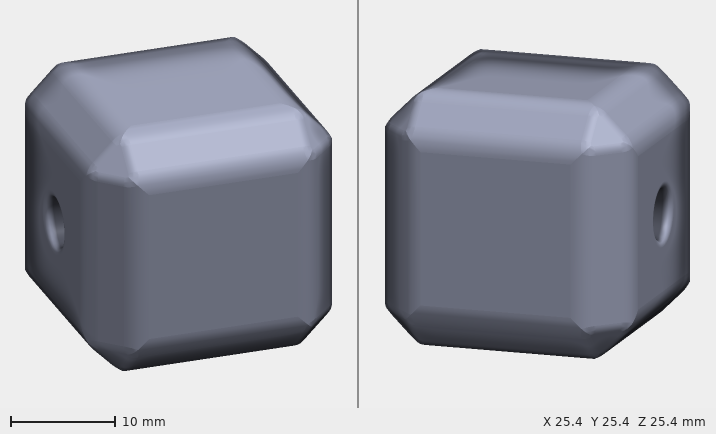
import cadquery as cq

side = 25.4
bevel_leg = 3.8
long_edge_radius = 3.18
corner_edge_radius = 1.52
hole_diameter = 4.75
hole_mouth_diameter = 6.35

hole_mouth_radius = (hole_mouth_diameter - hole_diameter) / 2
corner_signs = (-1, 1)


def rounded_bar(plane, long_edges):
    """Square bar normal to the plane, its long edges bevelled and the bevels blended into the sides."""
    bar = cq.Workplane(plane).box(side, side, side)
    bevelled = bar.edges(long_edges).chamfer(bevel_leg)
    return bevelled.edges(long_edges).fillet(long_edge_radius)


def corner_limit():
    """Cube whose bevelled edges leave a flat triangle across each corner."""
    return cq.Workplane("XY").box(side, side, side).edges().chamfer(bevel_leg)


def round_corners(body):
    """Round the outline of the flat triangle at each of the eight corners."""
    for x in corner_signs:
        for y in corner_signs:
            for z in corner_signs:
                triangle = body.faces(f">({x},{y},{z})")
                body = triangle.edges().fillet(corner_edge_radius)
    return body


def cut_hole(body):
    """Bore through the cube along Y and round both mouths of the bore."""
    bored = body.faces("<Y").workplane(centerOption="CenterOfMass").hole(hole_diameter)
    return bored.faces("<Y or >Y").edges("%CIRCLE").fillet(hole_mouth_radius)


cube = rounded_bar("XY", "|Z")
cube = cube.intersect(rounded_bar("YZ", "|X"))
cube = cube.intersect(rounded_bar("XZ", "|Y"))
cube = cube.intersect(corner_limit())

cube = round_corners(cube)
result = cut_hole(cube)